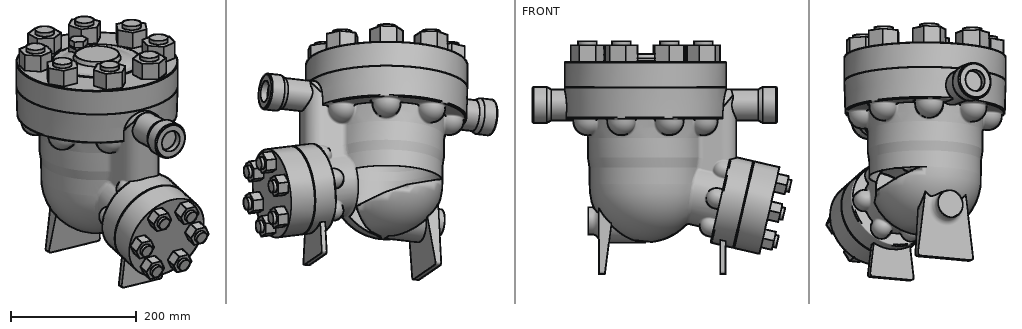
import cadquery as cq
import math

EMBED = 4.0

SEAM_TOLERANCE = 0.005

flange_radius = 258.0 / 2
flange_small_radius = 127.5
flange_edge_round = 2.0
cover_top_z = 40.5
cover_edge_chamfer = 1.2
body_flange_bottom_z = -50.0
joint_gap = 1.0
joint_face_radius = 164.0 / 2

bolt_count = 8
bolt_pitch = 360 / bolt_count
bolt_circle_radius = 100.0
nut_across_flats = 46.5
nut_height = 27.0
stud_diameter = 30.0
stud_projection = 6.0
boss_radius = 22.7
boss_straight = 3.7
boss_fillet = 3.0

pad_radius = 71.5
pad_height = 1.5
cone_bottom_radius = 60.0
cone_top_radius = 48.5
cone_height = 3.0
hub_radius = 70.0 / 2
hub_foot_radius = 38.0
hub_foot_height = 4.0
hub_top_z = 53.5
vent_x = -53.5
vent_lug_radius = 31.0 / 2
vent_lug_top_z = 51.5
vent_head_across_flats = 25.5
vent_head_height = 10.0

collar_radius = 91.8
collar_top_z = -80.5
collar_bottom_z = -112.0
shell_radius = 89.3
shell_top_z = -127.7
bowl_top_z = -154.0
bowl_bottom_z = -247.0
neck_top_radius = 95.0

nozzle_z = -28.0
nozzle_radius = 50.0 / 2
nozzle_end_radius = 58 / 2
nozzle_end_length = 22.7
nozzle_taper_length = 7.5
nozzle_chamfer = 2.0
nozzle_bore_radius = 34.5 / 2
nozzle_bore_depth = 11.5
inlet_end_x = -180.2
outlet_end_x = 210.0

passage_half_width = 32.2
passage_corner_radius = 25.0
passage_shoulder_z = -35.0
passage_outer_x = 145.0
passage_top_setback = 8.3
passage_bottom_z = -173.5
passage_fillet = 10.0

port_tilt = 13.0
port_joint_x = 156.5
port_joint_z = -187.0
port_radius = 142.0 / 2
port_edge_round = 2.0
port_flange_thickness = 38.0
port_cover_thickness = 42.0
port_gap = 1.5
port_face_radius = 83.0 / 2
port_neck_radius = 50.0
port_neck_length = 82.5
port_neck_fillet = 6.0
port_bolt_count = 6
port_bolt_circle_radius = 52.5
port_nut_across_flats = 29.8
port_nut_height = 17.8
port_stud_diameter = 20.0
port_stud_projection = 5.8
port_boss_radius = 16.5
port_boss_straight = 6.5
port_boss_fillet = 3.0

drain_z = -213.0
drain_pipe_radius = 70.0 / 2
drain_plug_radius = 44.0 / 2
drain_end_x = -91.5
drain_flare = 10.5
foot_bottom_z = -297.5
left_foot_half_width = 49.5
right_foot_half_width = 39.3
foot_corner_radius = 4.0
foot_side_slope = 0.13
left_foot_x = -74.0
left_foot_bottom_thickness = 9.5
left_foot_back_slope = 0.13
left_foot_top_z = -189.5
right_foot_x = 119.0
right_foot_thickness = 8.5
right_foot_top_z = -227.5


def cylinder_z(radius, bottom, top):
    return cq.Workplane("XY").workplane(offset=bottom).circle(radius).extrude(top - bottom)


def hexagon(plane, across_flats, height):
    across_corners = across_flats / math.cos(math.pi / 6)
    return cq.Workplane(plane).polygon(6, across_corners).extrude(height)


def nut_and_stud(plane, across_flats, height, stud, projection):
    stud_end = cq.Workplane(plane).circle(stud / 2).extrude(height + projection)
    return hexagon(plane, across_flats, height).union(stud_end)


def domed_boss(radius, straight):
    """Boss hanging below the origin: a short cylinder that ends in a half ball."""
    return cylinder_z(radius, -straight, EMBED).union(
        cq.Workplane("XY").sphere(radius).translate((0, 0, -straight))
    )


def blend(base, added, radius):
    """Join two parts and round the inner edges along which their surfaces meet."""
    joined = base.union(added)
    seam = []
    for edge in joined.edges().vals():
        middle = cq.Vertex.makeVertex(*edge.positionAt(0.5).toTuple())
        if max(middle.distance(base.val()), middle.distance(added.val())) < SEAM_TOLERANCE:
            seam.append(edge)
    return joined.newObject(seam).fillet(radius)


def make_shell():
    bowl_sphere_radius = (shell_radius**2 + (bowl_top_z - bowl_bottom_z) ** 2) / (
        2 * (bowl_top_z - bowl_bottom_z)
    )
    return (
        cq.Workplane("XZ")
        .moveTo(0, bowl_bottom_z)
        .radiusArc((shell_radius, bowl_top_z), -bowl_sphere_radius)
        .lineTo(shell_radius, shell_top_z)
        .lineTo(collar_radius, collar_bottom_z)
        .lineTo(collar_radius, collar_top_z)
        .lineTo(neck_top_radius, body_flange_bottom_z + EMBED)
        .lineTo(0, body_flange_bottom_z + EMBED)
        .close()
        .revolve(360, (0, 0, 0), (0, 1, 0))
    )


def make_flanges():
    body_flange = (
        cq.Workplane("XZ")
        .moveTo(0, body_flange_bottom_z)
        .lineTo(flange_small_radius, body_flange_bottom_z)
        .lineTo(flange_radius, -joint_gap / 2)
        .lineTo(0, -joint_gap / 2)
        .close()
        .revolve(360, (0, 0, 0), (0, 1, 0))
        .faces("<Z")
        .edges()
        .fillet(flange_edge_round)
    )
    cover = cylinder_z(flange_radius, joint_gap / 2, cover_top_z)
    cover = cover.faces(">Z").edges().chamfer(cover_edge_chamfer)
    joint_face = cylinder_z(joint_face_radius, -EMBED, EMBED)
    return body_flange.union(joint_face).union(cover)


def make_cover_hub():
    pad_top_z = cover_top_z + pad_height
    hub = (
        cq.Workplane("XZ")
        .moveTo(0, cover_top_z - EMBED)
        .lineTo(pad_radius, cover_top_z - EMBED)
        .lineTo(pad_radius, pad_top_z)
        .lineTo(cone_bottom_radius, pad_top_z)
        .lineTo(cone_top_radius, pad_top_z + cone_height)
        .lineTo(hub_foot_radius, pad_top_z + hub_foot_height)
        .lineTo(hub_radius, hub_top_z)
        .lineTo(0, hub_top_z)
        .close()
        .revolve(360, (0, 0, 0), (0, 1, 0))
    )
    lug_height = vent_lug_top_z - cover_top_z
    lug = cylinder_z(vent_lug_radius, cover_top_z, vent_lug_top_z).translate((vent_x, 0, 0))
    bridge = (
        cq.Workplane("XY")
        .box(-vent_x, 2 * vent_lug_radius, lug_height, centered=(False, True, False))
        .translate((vent_x, 0, cover_top_z))
    )
    head_plane = cq.Plane(origin=(vent_x, 0, vent_lug_top_z))
    head = hexagon(head_plane, vent_head_across_flats, vent_head_height)
    return hub.union(lug).union(bridge).union(head)


def around_bolt_circle(piece):
    """Copies of a piece made at the bolt circle on X, the first turned half a pitch from X."""
    centre = cq.Vector(0, 0, 0)
    axis_end = cq.Vector(0, 0, 1)
    angles = [(i + 0.5) * bolt_pitch for i in range(bolt_count)]
    copies = [piece.val().rotate(centre, axis_end, angle) for angle in angles]
    return cq.Workplane(cq.Compound.makeCompound(copies))


def make_cover_nuts():
    """Nuts and stud ends; the first nut has a corner that points along X."""
    seat = cq.Plane(origin=(0, 0, cover_top_z))
    nut = nut_and_stud(seat, nut_across_flats, nut_height, stud_diameter, stud_projection)
    nut = nut.rotate((0, 0, 0), (0, 0, 1), -bolt_pitch / 2)
    return around_bolt_circle(nut.translate((bolt_circle_radius, 0, 0)))


def make_flange_bosses():
    boss = domed_boss(boss_radius, boss_straight)
    return around_bolt_circle(boss.translate((bolt_circle_radius, 0, body_flange_bottom_z)))


def make_nozzle(end_x):
    """Nozzle along X from inside the body to its weld end, with a blind bore."""
    inward = -math.copysign(1, end_x)
    bore_floor_x = end_x + inward * nozzle_bore_depth
    collar_start_x = end_x + inward * nozzle_end_length
    taper_start_x = collar_start_x + inward * nozzle_taper_length
    root_x = -inward * joint_face_radius
    return (
        cq.Workplane("XZ", origin=(0, 0, nozzle_z))
        .moveTo(root_x, 0)
        .lineTo(root_x, nozzle_radius)
        .lineTo(taper_start_x, nozzle_radius)
        .lineTo(collar_start_x, nozzle_end_radius)
        .lineTo(end_x + inward * nozzle_chamfer, nozzle_end_radius)
        .lineTo(end_x, nozzle_end_radius - nozzle_chamfer)
        .lineTo(end_x, nozzle_bore_radius)
        .lineTo(bore_floor_x, nozzle_bore_radius)
        .lineTo(bore_floor_x, 0)
        .close()
        .revolve(360, (0, 0, 0), (1, 0, 0))
    )


def make_passage():
    """Upright rib with rounded outer corners and an arched top that leans toward the body."""
    height = passage_shoulder_z - passage_bottom_z
    arch = (
        cq.Workplane("YZ", origin=(0, 0, passage_shoulder_z))
        .moveTo(-passage_half_width, -height)
        .lineTo(-passage_half_width, 0)
        .threePointArc((0, passage_half_width), (passage_half_width, 0))
        .lineTo(passage_half_width, -height)
        .close()
        .extrude(passage_outer_x)
    )
    plan = (
        cq.Workplane("XY", origin=(0, 0, passage_bottom_z))
        .rect(2 * passage_outer_x, 2 * passage_half_width)
        .extrude(-passage_bottom_z)
        .edges("|Z")
        .fillet(passage_corner_radius)
    )
    side = (
        cq.Workplane("XZ")
        .moveTo(0, passage_bottom_z)
        .lineTo(passage_outer_x, passage_bottom_z)
        .lineTo(passage_outer_x, passage_shoulder_z)
        .lineTo(passage_outer_x - passage_top_setback, passage_shoulder_z + passage_half_width)
        .lineTo(0, passage_shoulder_z + passage_half_width)
        .close()
        .extrude(passage_half_width, both=True)
    )
    return arch.intersect(plan).intersect(side)


def tilt_into_place(port_piece):
    """Move a piece built along Z, with the port joint face at Z = 0, onto the tilted port axis."""
    tilt = math.radians(port_tilt)
    plane = cq.Plane(
        origin=(port_joint_x, 0, port_joint_z),
        xDir=(0, 1, 0),
        normal=(math.cos(tilt), 0, -math.sin(tilt)),
    )
    return cq.Workplane(port_piece.val().moved(cq.Location(plane)))


def make_port_neck():
    neck_start = -port_flange_thickness - port_neck_length
    return tilt_into_place(cylinder_z(port_neck_radius, neck_start, -EMBED))


def around_port(piece):
    """Copies of a piece made on the port axis, one at each port bolt."""
    angles = [math.radians(i * 360 / port_bolt_count) for i in range(port_bolt_count)]
    radius = port_bolt_circle_radius
    return [piece.translate((radius * math.cos(a), radius * math.sin(a), 0)) for a in angles]


def make_port_flanges():
    flange = cylinder_z(port_radius, -port_flange_thickness, -port_gap / 2)
    flange = flange.faces("<Z").edges().fillet(port_edge_round)
    cover = cylinder_z(port_radius, port_gap / 2, port_cover_thickness)
    face = cylinder_z(port_face_radius, -EMBED, EMBED)
    port = flange.union(face).union(cover)
    seat = cq.Plane(origin=(0, 0, port_cover_thickness))
    nut = nut_and_stud(
        seat, port_nut_across_flats, port_nut_height, port_stud_diameter, port_stud_projection
    )
    for nut_copy in around_port(nut):
        port = port.union(nut_copy)
    return tilt_into_place(port)


def make_port_bosses():
    boss = domed_boss(port_boss_radius, port_boss_straight)
    copies = around_port(boss.translate((0, 0, -port_flange_thickness)))
    return tilt_into_place(cq.Workplane(cq.Compound.makeCompound([copy.val() for copy in copies])))


def make_drain():
    flare_start_x = left_foot_x - drain_flare
    flare_radius = drain_plug_radius + drain_flare
    return (
        cq.Workplane("XZ", origin=(0, 0, drain_z))
        .moveTo(drain_end_x, 0)
        .lineTo(drain_end_x, drain_plug_radius)
        .lineTo(flare_start_x, drain_plug_radius)
        .radiusArc((left_foot_x, flare_radius), -drain_flare)
        .lineTo(left_foot_x + EMBED, flare_radius)
        .lineTo(left_foot_x + EMBED, drain_pipe_radius)
        .lineTo(0, drain_pipe_radius)
        .lineTo(0, 0)
        .close()
        .revolve(360, (0, 0, 0), (1, 0, 0))
    )


def foot_outline(foot_half_width, top_z, x_start, x_length):
    """Foot plate seen along X: a trapezoid that widens downward, rounded at the bottom corners."""
    top_half_width = foot_half_width - foot_side_slope * (top_z - foot_bottom_z)
    return (
        cq.Workplane("YZ", origin=(x_start, 0, 0))
        .moveTo(-foot_half_width, foot_bottom_z)
        .lineTo(foot_half_width, foot_bottom_z)
        .lineTo(top_half_width, top_z)
        .lineTo(-top_half_width, top_z)
        .close()
        .extrude(x_length)
        .faces("<Z")
        .edges("|X")
        .fillet(foot_corner_radius)
    )


def make_feet():
    left_height = left_foot_top_z - foot_bottom_z
    left_top_thickness = left_foot_bottom_thickness + left_foot_back_slope * left_height
    wedge = (
        cq.Workplane("XZ")
        .moveTo(left_foot_x, foot_bottom_z)
        .lineTo(left_foot_x + left_foot_bottom_thickness, foot_bottom_z)
        .lineTo(left_foot_x + left_top_thickness, left_foot_top_z)
        .lineTo(left_foot_x, left_foot_top_z)
        .close()
        .extrude(left_foot_half_width, both=True)
    )
    left_foot = foot_outline(left_foot_half_width, left_foot_top_z, left_foot_x, left_top_thickness)
    left_foot = left_foot.intersect(wedge)
    right_foot = foot_outline(
        right_foot_half_width, right_foot_top_z, right_foot_x, right_foot_thickness
    )
    return left_foot.union(right_foot)


body = blend(make_shell(), make_passage(), passage_fillet)
body = blend(body, make_port_neck(), port_neck_fillet)
body = blend(body, make_port_bosses(), port_boss_fillet)
body = body.union(make_flanges())
body = blend(body, make_flange_bosses(), boss_fillet)

result = (
    body.union(make_cover_nuts())
    .union(make_cover_hub())
    .union(make_nozzle(inlet_end_x))
    .union(make_nozzle(outlet_end_x))
    .union(make_port_flanges())
    .union(make_drain())
    .union(make_feet())
)